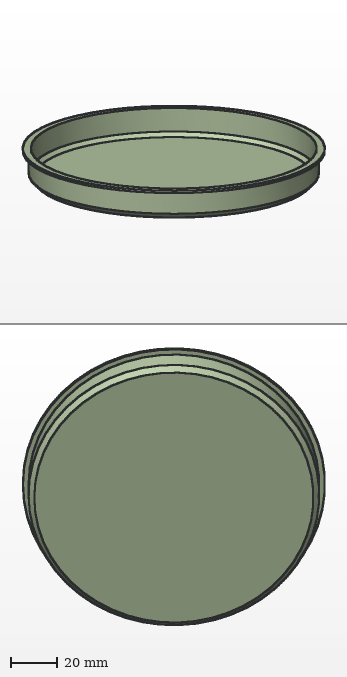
import cadquery as cq

rim_diameter = 130.0
body_diameter = 125.0
inner_diameter = 123.0
height = 13.5
rim_thickness = 1.0
floor_thickness = 1.0
outer_chamfer = 2.5
inner_chamfer = 2.0

body = cq.Workplane("XY").circle(body_diameter / 2).extrude(height)
body = body.faces("<Z").edges().chamfer(outer_chamfer)

rim = (
    cq.Workplane("XY")
    .workplane(offset=height - rim_thickness)
    .circle(rim_diameter / 2)
    .extrude(rim_thickness)
)

cavity = (
    cq.Workplane("XY")
    .workplane(offset=floor_thickness)
    .circle(inner_diameter / 2)
    .extrude(height - floor_thickness)
)
cavity = cavity.faces("<Z").edges().chamfer(inner_chamfer)

result = body.union(rim).cut(cavity)